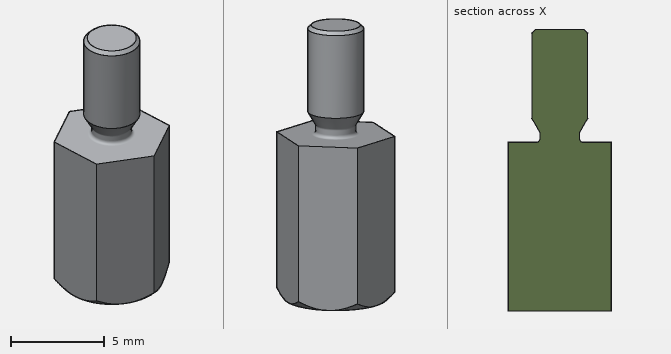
import cadquery as cq
import math

total_length = 15.0
body_length = 9.0
across_flats = 5.5
across_corners = across_flats / math.cos(math.radians(30))
bottom_chamfer_angle = math.radians(45)

stud_diameter = 3.0
neck_diameter = 2.13
neck_straight_end = body_length + 0.45
neck_fillet = 0.2
flare_angle = math.radians(30)
tip_chamfer = 0.2


def revolve_about_z(profile):
    """Turn a closed radius-height profile in the XZ plane about the Z axis."""
    return profile.revolve(360, (0, 0, 0), (0, 1, 0))


def make_body():
    """Hexagonal prism along Z whose bottom corners are cut back by a cone."""
    prism = cq.Workplane("XY").polygon(6, across_corners).extrude(body_length)
    flat_radius = across_flats / 2
    corner_radius = across_corners / 2
    chamfer_height = (corner_radius - flat_radius) * math.tan(bottom_chamfer_angle)
    envelope = revolve_about_z(
        cq.Workplane("XZ")
        .lineTo(flat_radius, 0)
        .lineTo(corner_radius, chamfer_height)
        .lineTo(corner_radius, body_length)
        .lineTo(0, body_length)
        .close()
    )
    return prism.intersect(envelope)


def make_stud():
    """Revolved stud: filleted foot, neck, blended flare and chamfered tip."""
    stud_radius = stud_diameter / 2
    neck_radius = neck_diameter / 2

    blend_end_radius = neck_radius + neck_fillet * (1 - math.cos(flare_angle))
    blend_end_height = neck_straight_end + neck_fillet * math.sin(flare_angle)
    flare_end_height = blend_end_height + (stud_radius - blend_end_radius) / math.tan(flare_angle)

    return revolve_about_z(
        cq.Workplane("XZ")
        .moveTo(0, body_length)
        .lineTo(neck_radius + neck_fillet, body_length)
        .radiusArc((neck_radius, body_length + neck_fillet), neck_fillet)
        .lineTo(neck_radius, neck_straight_end)
        .radiusArc((blend_end_radius, blend_end_height), neck_fillet)
        .lineTo(stud_radius, flare_end_height)
        .lineTo(stud_radius, total_length - tip_chamfer)
        .lineTo(stud_radius - tip_chamfer, total_length)
        .lineTo(0, total_length)
        .close()
    )


result = make_body().union(make_stud())